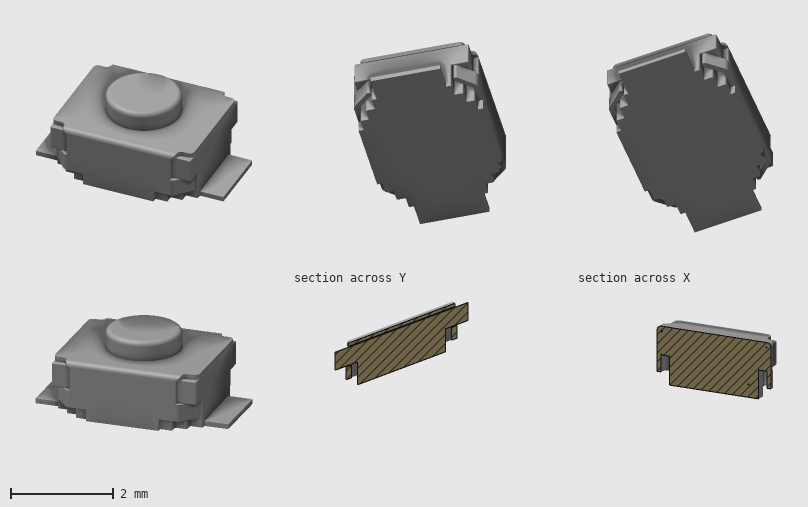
import cadquery as cq
import math

TOTAL_LENGTH = 4.0
TOTAL_WIDTH = 2.5
TOTAL_HEIGHT = 1.59

SHEET = 0.1

BUTTON_DIAMETER = 1.5
BUTTON_HEIGHT = 0.4
BUTTON_FILLET = 0.1

BODY_LENGTH = 3.0
BODY_WIDTH = TOTAL_WIDTH - 2 * SHEET
BODY_TOP = TOTAL_HEIGHT - BUTTON_HEIGHT - SHEET
OVERHANG_BOTTOM = 0.59
BODY_FILLET = 0.025

LOWER_STEPS = [(BODY_LENGTH / 2, 0.8), (1.25, 0.98), (1.0, BODY_WIDTH / 2)]

COVER_TOP = BODY_TOP + SHEET
WALL_LENGTH = 2.2
FOOT_LENGTH = 1.5
FOOT_HEIGHT = 0.245
CORNER_RADIUS = 0.1
NOTCH_FLAT = 0.1

TAB_BEND_RADIUS = 0.13
TAB_BEND_ANGLE = 48.5
TAB_FLAT = 0.395

TERMINAL_WIDTH = 1.4


def centred_box(length, width, bottom, top):
    """Box centred on the Z axis between two heights."""
    box = cq.Workplane("XY").box(length, width, top - bottom, centered=(True, True, False))
    return box.translate((0, 0, bottom))


def make_lower_housing():
    """Lower block with corners that step inwards."""
    corner = [(0, 0), (BODY_LENGTH / 2, 0)]
    for step, (half_length, half_width) in enumerate(LOWER_STEPS):
        if step > 0:
            corner.append((half_length, LOWER_STEPS[step - 1][1]))
        corner.append((half_length, half_width))
    corner.append((0, BODY_WIDTH / 2))
    quarter = cq.Workplane("XY").polyline(corner).close().extrude(BODY_TOP)
    half = quarter.union(quarter.mirror("YZ"))
    return half.union(half.mirror("XZ"))


def make_housing():
    """Upper block overhanging the stepped lower block, with rounded edges above the flat base."""
    upper = centred_box(BODY_LENGTH, BODY_WIDTH, OVERHANG_BOTTOM, BODY_TOP)
    housing = upper.union(make_lower_housing()).clean()
    step_corners = housing.edges("|Z")
    outline = housing.faces("<X or >X or <Y or >Y").edges("not <Z")
    return step_corners.add(outline).fillet(BODY_FILLET)


def make_cover_top():
    """Flat top plate: each corner is rounded, then notched up to the side bend."""
    r = CORNER_RADIUS
    notch_x = BODY_LENGTH / 2 - r
    edge_y = BODY_WIDTH / 2
    notch_y = edge_y - r
    arc = r * math.sqrt(0.5)
    inner_x = notch_x - NOTCH_FLAT
    quarter = (
        cq.Workplane("XY", origin=(0, 0, BODY_TOP))
        .lineTo(BODY_LENGTH / 2, 0)
        .lineTo(BODY_LENGTH / 2, notch_y - r)
        .threePointArc((notch_x + arc, notch_y - r + arc), (notch_x, notch_y))
        .lineTo(inner_x, notch_y)
        .threePointArc((inner_x - arc, edge_y - arc), (inner_x - r, edge_y))
        .lineTo(0, edge_y)
        .close()
        .extrude(SHEET)
    )
    half = quarter.union(quarter.mirror("YZ"))
    return half.union(half.mirror("XZ"))


def make_cover_walls():
    """Side walls on narrower feet, under a rounded top bend that flares out at both ends."""
    foot = centred_box(FOOT_LENGTH, TOTAL_WIDTH, 0, FOOT_HEIGHT)
    wall = centred_box(WALL_LENGTH, TOTAL_WIDTH, FOOT_HEIGHT, BODY_TOP)
    bend = centred_box(WALL_LENGTH + 2 * SHEET, TOTAL_WIDTH, BODY_TOP, COVER_TOP)
    bend = bend.edges("|Z").fillet(SHEET)
    envelope = centred_box(BODY_LENGTH, TOTAL_WIDTH, 0, COVER_TOP).edges("|X and >Z").fillet(SHEET)
    inside = centred_box(BODY_LENGTH, BODY_WIDTH, 0, COVER_TOP)
    return foot.union(wall).union(bend).intersect(envelope).cut(inside)


def make_tab():
    """Tab at the +X, +Y corner: bend, flat stretch and full round tip."""
    centre_x = WALL_LENGTH / 2
    centre_y = TOTAL_WIDTH / 2 - TAB_BEND_RADIUS
    angle = math.radians(TAB_BEND_ANGLE)
    inner_radius = TAB_BEND_RADIUS - SHEET

    def on_bend(radius, turn, along=0.0):
        """Point on the bend, moved along the sheet past it."""
        x = centre_x + radius * math.sin(turn) + along * math.cos(turn)
        y = centre_y + radius * math.cos(turn) - along * math.sin(turn)
        return (x, y)

    tip = on_bend(TAB_BEND_RADIUS - SHEET / 2, angle, TAB_FLAT + SHEET / 2)
    return (
        cq.Workplane("XY", origin=(0, 0, FOOT_HEIGHT))
        .moveTo(*on_bend(TAB_BEND_RADIUS, 0))
        .threePointArc(on_bend(TAB_BEND_RADIUS, angle / 2), on_bend(TAB_BEND_RADIUS, angle))
        .lineTo(*on_bend(TAB_BEND_RADIUS, angle, TAB_FLAT))
        .threePointArc(tip, on_bend(inner_radius, angle, TAB_FLAT))
        .lineTo(*on_bend(inner_radius, angle))
        .threePointArc(on_bend(inner_radius, angle / 2), on_bend(inner_radius, 0))
        .close()
        .extrude(OVERHANG_BOTTOM - FOOT_HEIGHT)
    )


def make_tabs():
    """One tab at each of the four corners."""
    tab = make_tab()
    pair = tab.union(tab.mirror("YZ"))
    return pair.union(pair.mirror("XZ"))


def make_button():
    button = cq.Workplane("XY", origin=(0, 0, COVER_TOP)).circle(BUTTON_DIAMETER / 2).extrude(BUTTON_HEIGHT)
    return button.faces(">Z").edges().fillet(BUTTON_FILLET)


terminals = centred_box(TOTAL_LENGTH, TERMINAL_WIDTH, 0, SHEET)

result = (
    make_housing()
    .union(make_cover_top())
    .union(make_cover_walls())
    .union(make_tabs())
    .union(terminals)
    .union(make_button())
)